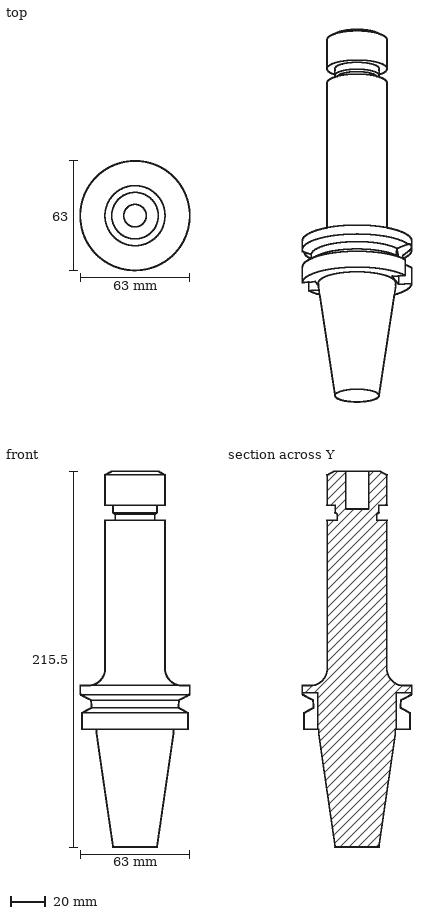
import cadquery as cq
import math

total_height = 215.5

taper_length = 65.5
gauge_radius = 22.2
taper_ratio = 7 / 24
small_end_radius = gauge_radius - taper_length * taper_ratio / 2
gauge_land = 2.0

flange_radius = 31.5
flange_height = 25.2
groove_radius = 26.3
lower_rim_height = 9.5
upper_rim_height = 5.4
groove_flank = (flange_radius - groove_radius) * math.tan(math.radians(30))
flange_bottom = taper_length + gauge_land
flange_top = flange_bottom + flange_height
lower_rim_top = flange_bottom + lower_rim_height
upper_rim_bottom = flange_top - upper_rim_height

slot_width = 16.2
slot_height = 21.0
slot_floor = 22.6

body_radius = 17.2
foot_fillet = 9.7

nut_radius = 17.2
nut_height = 19.5
nut_face_radius = 13.4
nut_bevel_height = 2.2
collar_radius = 12.7
collar_height = 4.0
neck_radius = 11.5
neck_height = 4.3
neck_bevel_height = 1.0
nut_bottom = total_height - nut_height
collar_bottom = nut_bottom - collar_height
body_top = collar_bottom - neck_height

bore_radius = 6.5
bore_depth = 21.5


def make_turned_body():
    """Revolve the half profile (radius, height) about the Z axis."""
    fillet_mid = foot_fillet * (1 - math.sin(math.radians(45)))
    profile = (
        cq.Workplane("XZ")
        .moveTo(0, 0)
        .lineTo(small_end_radius, 0)
        .lineTo(gauge_radius, taper_length)
        .lineTo(gauge_radius, flange_bottom)
        .lineTo(flange_radius, flange_bottom)
        .lineTo(flange_radius, lower_rim_top)
        .lineTo(groove_radius, lower_rim_top + groove_flank)
        .lineTo(groove_radius, upper_rim_bottom - groove_flank)
        .lineTo(flange_radius, upper_rim_bottom)
        .lineTo(flange_radius, flange_top)
        .lineTo(body_radius + foot_fillet, flange_top)
        .threePointArc(
            (body_radius + fillet_mid, flange_top + fillet_mid),
            (body_radius, flange_top + foot_fillet),
        )
        .lineTo(body_radius, body_top)
        .lineTo(neck_radius, body_top)
        .lineTo(neck_radius, collar_bottom - neck_bevel_height)
        .lineTo(collar_radius, collar_bottom)
        .lineTo(collar_radius, nut_bottom)
        .lineTo(nut_radius, nut_bottom)
        .lineTo(nut_radius, total_height - nut_bevel_height)
        .lineTo(nut_face_radius, total_height)
        .lineTo(0, total_height)
        .close()
    )
    return profile.revolve(360, (0, 0, 0), (0, 1, 0))


def make_drive_slot():
    """Round-topped slot cutter on the +X side, open at the flange underside."""
    half_width = slot_width / 2
    slot_top = flange_bottom + slot_height
    arch_start = slot_top - half_width
    return (
        cq.Workplane("YZ", origin=(slot_floor, 0, 0))
        .moveTo(-half_width, flange_bottom)
        .lineTo(half_width, flange_bottom)
        .lineTo(half_width, arch_start)
        .threePointArc((0, slot_top), (-half_width, arch_start))
        .close()
        .extrude(flange_radius)
    )


def make_bore():
    """Blind bore cutter from the nut face."""
    return (
        cq.Workplane("XY", origin=(0, 0, total_height - bore_depth))
        .circle(bore_radius)
        .extrude(bore_depth)
    )


result = make_turned_body().cut(make_bore())
for side_angle in (0, 180):
    result = result.cut(make_drive_slot().rotate((0, 0, 0), (0, 0, 1), side_angle))